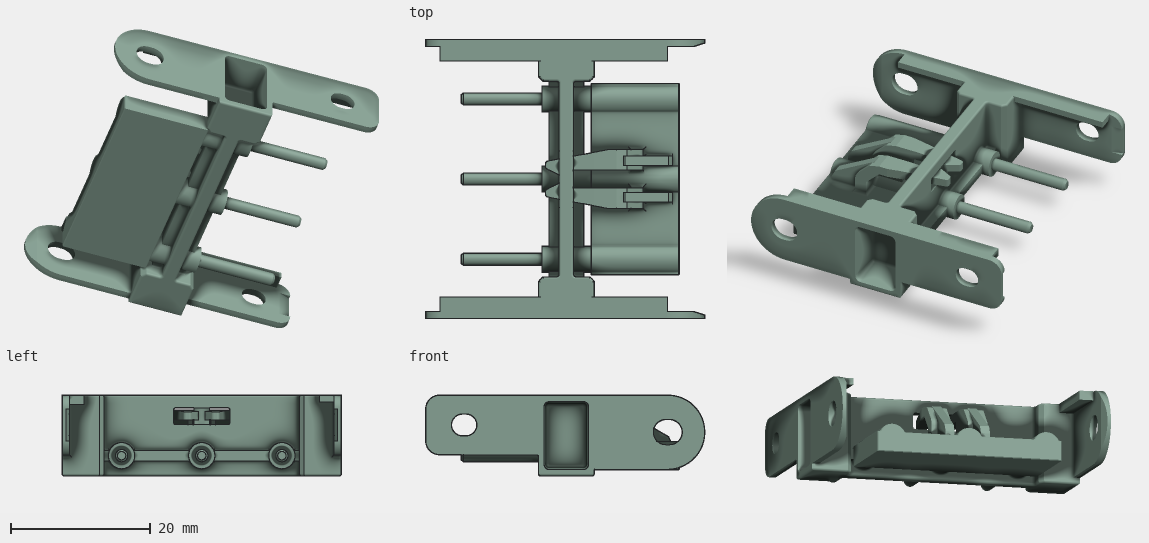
import cadquery as cq
import math

LENGTH = 40.0
WIDTH = 40.0
HEIGHT = 11.6
TOUCH = 0.005
CORE_X = 0.15
SIDES = (1, -1)

LUG_X = 8.0
LUG_INNER_Y = 14.0
LUG_CORNER = 0.65
WALL_X = 2.05
RIM_FILLET = 0.3
INNER_FILLET = 0.35

PLATE_THICKNESS = 1.05
TAIL_BOTTOM = 3.05
TAIL_CORNER = 2.0
LOBE_RADIUS = 5.3
LOBE_X = LENGTH / 2 - LOBE_RADIUS
LOBE_Z = HEIGHT - LOBE_RADIUS
TAPER_X = 1.6
THIN_TIP = 0.5
TAIL_HOLE_X = -14.5
TAIL_HOLE = (3.6, 3.1)
LOBE_HOLE = (4.1, 3.6)
RIDGE_START_X = -17.95
RIDGE_WIDTH = 3.1
RIDGE_HEIGHTS = {1: 1.3, -1: 0.95}

POCKET_X = 6.4
POCKET_BORDER = 0.9
POCKET_DEPTH = 5.0
POCKET_CORNER = 0.8
POCKET_NARROWING = 0.35
POCKET_DRAFT = math.degrees(math.atan(POCKET_NARROWING / POCKET_DEPTH))
POCKET_FLOOR_FILLET = 0.4

AXIS_Z = 2.9
PIN_PITCH = 11.5
PIN_YS = (-PIN_PITCH, 0, PIN_PITCH)
BOSS_RADIUS = 1.9
BOSS_X = 7.0
RAIL_X = 5.0
RAIL_HEIGHT = 1.5
ROOT_FILLET = 0.25
ROOT_EDGE_HEIGHT = 2.0

PIN_RADIUS = 0.9
PIN_TIP_X = -14.9
PIN_TIP_LENGTH = 0.35
PIN_TIP_RADIUS = 0.6

WINDOW_OUTER_Y = 4.05
WINDOW_INNER_Y = 1.1
WINDOW_BOTTOM = 7.35
WINDOW_TOP = 9.75
WINDOW_CORNER = 0.3
CATCH_RECESS = 0.2

BLOCK_START_X = CORE_X + BOSS_X / 2
BLOCK_END_X = 16.35
BLOCK_Y = 27.45
BLOCK_TOP = 3.8
SLEEVE_RADIUS = 2.05
SLEEVE_FILLET = 0.25
BLOCK_END_CHAMFER = 0.1
BLOCK_BOTTOM = AXIS_Z - SLEEVE_RADIUS

ARM_BOTTOM = 8.05
ARM_TOP = 9.45
ARM_TIP_TOP = 9.2
ARM_TIP_X = -2.85
ARM_TAPER_X = 4.15
BEND_X = 7.35
BREAK_POINT = (8.85, 9.1)
POST_START_X = 9.45
POST_END_X = 11.15
SLANT_TOP_X = 7.35
POST_SHOULDER = 1.5
WEB_START_X = 4.8
WEB_THICKNESS = 0.7
ARM_INNER_Y = 1.3
ARM_OUTER_Y = 4.2
ARM_FULL_WIDTH_X = 6.05
ARM_TIP_OUTER_Y = 2.5
HOOK_Y = 0.5
HOOK_TIP_Y = 1.55
HOOK_TIP_ROUND = 0.4
FOOT_FILLET = 0.5

GUSSET_Y = 2.65
GUSSET_THICKNESS = 1.35
GUSSET_START = (8.35, 9.4)
GUSSET_KNEE = (14.8, 5.65)
GUSSET_END = (15.35, 4.5)


def box(x0, x1, y0, y1, z0, z1):
    """A box between the given limits."""
    return cq.Workplane("XY").box(x1 - x0, y1 - y0, z1 - z0, centered=False).translate((x0, y0, z0))


def x_cylinder(radius, x0, x1, y):
    """A cylinder along X at the height of the pin axes."""
    return cq.Workplane("YZ", origin=(x0, y, AXIS_Z)).circle(radius).extrude(x1 - x0)


def x_centred_box(size_x, y0, y1, z0, z1):
    """A box whose X range is centred on the wall."""
    return box(CORE_X - size_x / 2, CORE_X + size_x / 2, y0, y1, z0, z1)


def core():
    """The two lugs joined by the cross wall, with rounded top and bottom rims."""
    body = x_centred_box(WALL_X, -WIDTH / 2, WIDTH / 2, 0, HEIGHT)
    for side in SIDES:
        y0, y1 = sorted((side * LUG_INNER_Y, side * WIDTH / 2))
        inner_face = "<Y" if side > 0 else ">Y"
        lug = x_centred_box(LUG_X, y0, y1, 0, HEIGHT)
        body = body.union(lug.faces(inner_face).edges("|Z").chamfer(LUG_CORNER))
    wall_corners = cq.selectors.BoxSelector(
        (CORE_X - WALL_X, -LUG_INNER_Y - 0.05, 0), (CORE_X + WALL_X, LUG_INNER_Y + 0.05, HEIGHT))
    body = body.edges("|Z").edges(wall_corners).fillet(INNER_FILLET)
    return body.faces("<Z or >Z").edges().fillet(RIM_FILLET)


def tip_wedge(side, tip_x, z0, z1):
    """The wedge cut from a plate's inner face so that it thins toward the tip at tip_x."""
    inner_y = side * (WIDTH / 2 - PLATE_THICKNESS)
    thin_y = side * (WIDTH / 2 - THIN_TIP)
    start_x = tip_x - math.copysign(TAPER_X, tip_x)
    return (
        cq.Workplane("XY", origin=(0, 0, z0)).moveTo(start_x, inner_y).lineTo(tip_x, inner_y)
        .lineTo(tip_x, thin_y).close().extrude(z1 - z0))


def plate(side):
    """One side plate with its ridge, holes, tail recess and tapered lobe tip."""
    outer_y = side * WIDTH / 2
    tail_x = -LENGTH / 2

    def extruded(sketch, depth):
        return sketch.extrude(side * depth)

    def plane():
        return cq.Workplane("XZ", origin=(0, outer_y, 0))

    tail = extruded(
        plane().moveTo(tail_x, TAIL_BOTTOM).lineTo(CORE_X, TAIL_BOTTOM).lineTo(CORE_X, HEIGHT)
        .lineTo(tail_x, HEIGHT).close(), PLATE_THICKNESS).edges("|Y and <X").fillet(TAIL_CORNER)
    lobe = extruded(
        plane().moveTo(CORE_X, HEIGHT - 2 * LOBE_RADIUS).lineTo(LOBE_X, HEIGHT - 2 * LOBE_RADIUS)
        .threePointArc((LENGTH / 2, LOBE_Z), (LOBE_X, HEIGHT)).lineTo(CORE_X, HEIGHT).close(),
        PLATE_THICKNESS)
    body = tail.union(lobe)

    body = body.cut(tip_wedge(side, LENGTH / 2, 0, HEIGHT))
    body = body.cut(tip_wedge(side, tail_x, TAIL_BOTTOM + TAIL_CORNER, HEIGHT - TAIL_CORNER))

    y0, y1 = sorted((outer_y, outer_y - side * RIDGE_WIDTH))
    body = body.union(box(RIDGE_START_X, LOBE_X, y0, y1, HEIGHT - RIDGE_HEIGHTS[side], HEIGHT))

    tail_hole_z = (TAIL_BOTTOM + HEIGHT) / 2
    for (x, z), slot in (((TAIL_HOLE_X, tail_hole_z), TAIL_HOLE), ((LOBE_X, LOBE_Z), LOBE_HOLE)):
        body = body.cut(extruded(plane().center(x, z).slot2D(*slot), PLATE_THICKNESS))
    return body


def at_plate_root(edge):
    """Whether an edge lies in the corner between a lug and a plate's inner face or underside."""
    middle = edge.Center()
    limits = edge.BoundingBox()
    at_lug = abs(abs(middle.x - CORE_X) - LUG_X / 2) < TOUCH
    on_inner_face = abs(abs(middle.y) - (WIDTH / 2 - PLATE_THICKNESS)) < TOUCH
    under_tail = abs(middle.z - TAIL_BOTTOM) < TOUCH and limits.ylen > TOUCH
    return at_lug and (on_inner_face or under_tail)


def pocket(side):
    """The blind pocket opening on the outer side of a lug, narrowing toward its floor."""
    outer_y = side * WIDTH / 2
    hollow = (
        cq.Workplane("XZ", origin=(CORE_X, outer_y, HEIGHT / 2))
        .sketch().rect(POCKET_X, HEIGHT - 2 * POCKET_BORDER).vertices().fillet(POCKET_CORNER).finalize()
        .extrude(side * POCKET_DEPTH, taper=POCKET_DRAFT))
    floor = "<Y" if side > 0 else ">Y"
    return hollow.faces(floor).edges().fillet(POCKET_FLOOR_FILLET)


def add_bosses_and_rails(body):
    """Adds the pin bosses and the rails between them to both faces of the wall."""
    half_rail = RAIL_HEIGHT / 2
    body = body.union(x_centred_box(RAIL_X, -LUG_INNER_Y, LUG_INNER_Y, AXIS_Z - half_rail, AXIS_Z + half_rail))
    for y in PIN_YS:
        body = body.union(x_cylinder(BOSS_RADIUS, CORE_X - BOSS_X / 2, CORE_X + BOSS_X / 2, y))
    wall_faces = (CORE_X - WALL_X / 2, CORE_X + WALL_X / 2)

    def at_wall(edge):
        limits = edge.BoundingBox()
        on_face = any(abs(limits.xmin - x) < TOUCH and abs(limits.xmax - x) < TOUCH for x in wall_faces)
        near_axis = abs(limits.center.z - AXIS_Z) < BOSS_RADIUS
        return on_face and near_axis and limits.ylen < 2 * PIN_PITCH and limits.zlen < ROOT_EDGE_HEIGHT

    roots = [e for e in body.edges().vals() if at_wall(e)]
    return body.newObject(roots).fillet(ROOT_FILLET)


def frame():
    """The frame: core, side plates, bosses and rails, with pockets, latch windows and pin holes."""
    body = core()
    for side in SIDES:
        body = body.union(plate(side))
    roots = [e for e in body.edges().vals() if at_plate_root(e)]
    body = body.newObject(roots).fillet(INNER_FILLET)
    body = add_bosses_and_rails(body)
    for side in SIDES:
        body = body.cut(pocket(side))
        y0, y1 = sorted((side * WINDOW_INNER_Y, side * WINDOW_OUTER_Y))
        window = x_centred_box(WALL_X, y0, y1, WINDOW_BOTTOM, WINDOW_TOP)
        outer_end = ">Y" if side > 0 else "<Y"
        body = body.cut(window.faces(outer_end).edges("|X").fillet(WINDOW_CORNER))
    face_x = CORE_X - WALL_X / 2
    body = body.cut(box(face_x, face_x + CATCH_RECESS, -WINDOW_INNER_Y, WINDOW_INNER_Y, WINDOW_BOTTOM, WINDOW_TOP))
    for y in PIN_YS:
        body = body.cut(x_cylinder(PIN_RADIUS, CORE_X - BOSS_X / 2, CORE_X + BOSS_X / 2, y))
    return body


def pin(y):
    """A round pin with a bevelled tip, ending flush with the +X end of its boss."""
    body = x_cylinder(PIN_RADIUS, PIN_TIP_X, BLOCK_START_X, y)
    return body.faces("<X").edges().chamfer(PIN_TIP_LENGTH, PIN_RADIUS - PIN_TIP_RADIUS)


def latch_arm():
    """The +Y latch arm: a hooked bar that bends down into a post standing on the block."""
    slant_bottom = ARM_BOTTOM - (POST_START_X - SLANT_TOP_X)
    break_x, break_z = BREAK_POINT
    side_outline = (
        cq.Workplane("XZ").moveTo(ARM_TIP_X, ARM_BOTTOM).lineTo(SLANT_TOP_X, ARM_BOTTOM)
        .lineTo(POST_START_X, slant_bottom).lineTo(POST_START_X, AXIS_Z).lineTo(POST_END_X, AXIS_Z)
        .lineTo(POST_END_X, break_z - (POST_END_X - break_x)).lineTo(break_x, break_z)
        .lineTo(BEND_X, ARM_TOP).lineTo(ARM_TAPER_X, ARM_TOP).lineTo(ARM_TIP_X, ARM_TIP_TOP).close()
        .extrude(-ARM_OUTER_Y).edges("|Y and >X").edges(">Z").fillet(POST_SHOULDER))
    catch_x = CORE_X - WALL_X / 2 + CATCH_RECESS
    plan = (
        cq.Workplane("XY").moveTo(POST_END_X, ARM_INNER_Y).lineTo(catch_x, ARM_INNER_Y)
        .lineTo(catch_x, HOOK_Y).lineTo(ARM_TIP_X, HOOK_TIP_Y).lineTo(ARM_TIP_X, ARM_TIP_OUTER_Y)
        .lineTo(ARM_FULL_WIDTH_X, ARM_OUTER_Y).lineTo(POST_END_X, ARM_OUTER_Y).close()
        .extrude(HEIGHT).edges("|Z and <X").fillet(HOOK_TIP_ROUND))
    web = box(WEB_START_X, POST_START_X, ARM_INNER_Y, ARM_INNER_Y + WEB_THICKNESS, slant_bottom, ARM_BOTTOM)
    return side_outline.intersect(plan).union(web)


def gusset():
    """The sloping rib behind the +Y latch arm."""
    return (
        cq.Workplane("XZ", origin=(0, GUSSET_Y + GUSSET_THICKNESS / 2, 0))
        .moveTo(POST_START_X, AXIS_Z).lineTo(GUSSET_END[0], AXIS_Z).lineTo(*GUSSET_END)
        .lineTo(*GUSSET_KNEE).lineTo(*GUSSET_START).lineTo(POST_START_X, ARM_BOTTOM).close()
        .extrude(GUSSET_THICKNESS))


def at_sleeve_root(edge):
    """Whether an edge runs along X where an outer sleeve rises from the block's top face."""
    limits = edge.BoundingBox()
    along_x = limits.xlen > BLOCK_END_X - BLOCK_START_X - TOUCH
    on_top = abs(limits.zmin - BLOCK_TOP) < TOUCH
    near_sleeve = abs(abs(limits.center.y) - PIN_PITCH) < SLEEVE_RADIUS
    return along_x and on_top and near_sleeve


def at_foot(edge):
    """Whether an edge lies where a latch post stands on the block."""
    limits = edge.BoundingBox()
    inside_x = limits.xmin > POST_START_X - TOUCH and limits.xmax < POST_END_X + TOUCH
    low = limits.zmax < AXIS_Z + SLEEVE_RADIUS and limits.zmin > BLOCK_TOP - TOUCH
    return inside_x and low


def at_gusset_root(edge):
    """Whether an edge lies where the outer side of a gusset stands on the block."""
    limits = edge.BoundingBox()
    on_top = abs(limits.zmin - BLOCK_TOP) < TOUCH and limits.xlen > GUSSET_THICKNESS
    on_side = abs(abs(limits.center.y) - GUSSET_Y - GUSSET_THICKNESS / 2) < TOUCH
    return on_top and on_side


def with_mirrored_pair(base, half, at_root, radius):
    """The base with a +Y feature and its mirror image added and their roots rounded."""
    body = base.union(half).union(half.mirror("XZ"))
    roots = [e for e in body.edges().vals() if at_root(e)]
    return body.newObject(roots).fillet(radius)


def socket_block():
    """The block with three sleeves, two latch arms and two gussets."""
    base = box(BLOCK_START_X, BLOCK_END_X, -BLOCK_Y / 2, BLOCK_Y / 2, BLOCK_BOTTOM, BLOCK_TOP)
    for y in PIN_YS:
        base = base.union(x_cylinder(SLEEVE_RADIUS, BLOCK_START_X, BLOCK_END_X, y))
    roots = [e for e in base.edges().vals() if at_sleeve_root(e)]
    base = base.newObject(roots).fillet(SLEEVE_FILLET)
    base = base.faces("<X or >X").edges().chamfer(BLOCK_END_CHAMFER)
    armed = with_mirrored_pair(base, latch_arm(), at_foot, FOOT_FILLET)
    ribbed = with_mirrored_pair(base, gusset(), at_gusset_root, SLEEVE_FILLET)
    return armed.union(ribbed)


result = cq.Compound.makeCompound([
    frame().val(),
    *[pin(y).val() for y in PIN_YS],
    socket_block().val(),
])